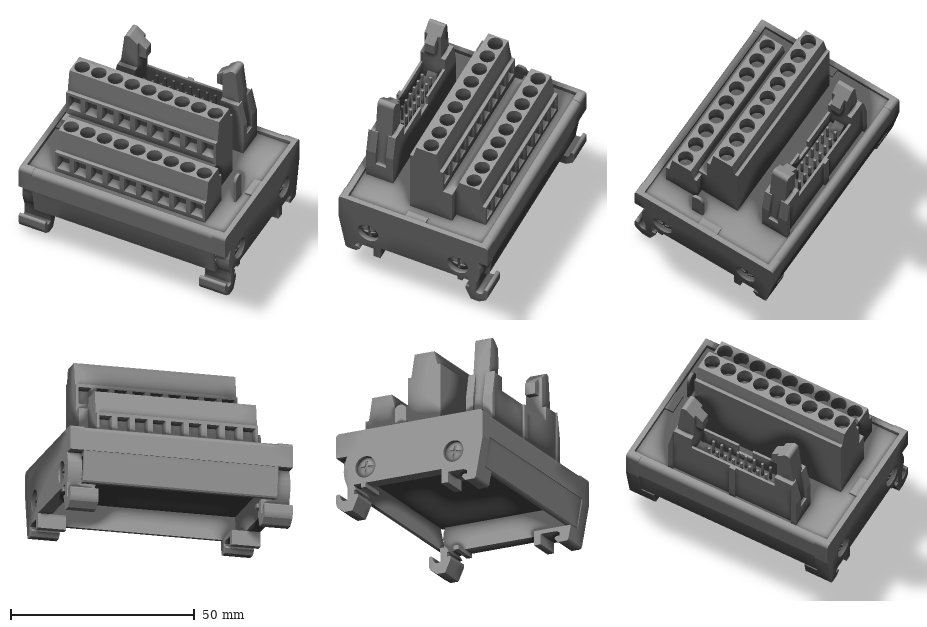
import cadquery as cq

LENGTH = 63.0
DEPTH = 45.0
HALF_LENGTH = LENGTH / 2
HALF_DEPTH = DEPTH / 2
TOP_Z = 22.85
UNDERSIDE_Z = 7.4
STEP_Z = 15.95
CAP_WIDTH = 4.0
CAP_EDGE_RADIUS = 1.0
FOOT_WIDTH = 8.0
CHANNEL_HALF_LENGTH = HALF_LENGTH - CAP_WIDTH
CHANNEL_EDGE_RADIUS = 1.4
CHANNEL_TOP_Z = TOP_Z - 0.15
CHANNEL_STEP = 0.25
CHANNEL_CEILING_Z = 14.7
CHANNEL_CEILING_HALF_DEPTH = 20.9
CHANNEL_FOOT_HALF_DEPTH = 21.0
CHANNEL_FOOT_INNER = 19.5
CHANNEL_FOOT_CHAMFER = 0.4

BACK_TAPER_Z = 15.1
FOOT_HEEL_Y = 20.4
FOOT_HEEL_Z = 3.8
FOOT_BOTTOM_Z = 3.0
HEEL_RADIUS = 0.9
FOOT_TOE_RAMP = 0.5
FOOT_THROAT_RAMP = 1.05
FOOT_TOE_Y = 16.0
FOOT_TOE_Z = 4.15
FOOT_THROAT_Y = 17.6
FOOT_THROAT_BOTTOM_Z = 4.85
FOOT_THROAT_TOP_Z = 5.8
RAIL_SEAT_Z = 6.25
STOP_BACK_Y = 11.85
STOP_FRONT_Y = 9.8
STOP_BOTTOM_Z = 3.25
RIB_BACK_Y = -13.4
RIB_FRONT_Y = -14.9
RIB_BOTTOM_Z = 6.2

BARB_ROOT_Y = -17.2
BARB_TIP_Y = -16.3
BARB_TIP_Z = 5.95
BARB_BOTTOM_Z = 5.8
HOOK_NECK_Y = -16.95
HOOK_JAW_Y = -15.8
HOOK_JAW_TOP_Z = 4.6
HOOK_JAW_BOTTOM_Z = 3.75
HOOK_BOTTOM_BACK_Y = -17.5
HOOK_BOTTOM_FRONT_Y = -19.95
HOOK_CORNER = (-22.0, 1.45)
HOOK_CORNER_MIDDLE = (-22.36, 2.21)
HOOK_FRONT_Z = 3.05
LIP_TOP_Z = 5.4
LIP_SIDE_Z = 4.95
LIP_MIDDLE_Y = -21.9
LIP_INNER_Y = -21.3
THROAT_MIDDLE = (-21.0, 3.8)
THROAT_FRONT_Y = -20.2
THROAT_BOTTOM_Z = 3.2
THROAT_RADIUS = 0.5
ARM_FOOT_Y = -18.95
ARM_FOOT_Z = 5.6
ARM_ROOT_Y = -19.15
ARM_FOOT_MIDDLE = (-19.0, 6.4)
ARM_MIDDLE = (-19.85, 9.3)
ARM_BEND = (-20.15, 11.6)
ARM_KNEE = (-20.05, 13.1)

RIM_WIDTH = 1.4
RIM_DEPTH = 2.3
RECESS_DEPTH = 1.3
BOARD_Z = TOP_Z - RECESS_DEPTH
TAB_LENGTH = 2.5
TAB_WIDTH = 6.0
TAB_Y = 0.2
TAB_DROP = 0.7

SCREW_Y = 13.5
SCREW_Z = 12.0
SCREW_BORE_DIAMETER = 6.15
SCREW_BORE_DEPTH = 1.5
SCREW_HEAD_DIAMETER = 5.8
SCREW_HEAD_HEIGHT = 1.0
SCREW_CROSS_LENGTH = 3.9
SCREW_CROSS_WIDTH = 0.8
SCREW_CROSS_DEPTH = 0.7
REAR_SCREW_TURN = -8.0

POLES = 9
POLE_PITCH = 5.08
BLOCK_LENGTH = POLES * POLE_PITCH
UPPER_BLOCK_X = -2.4
LOWER_BLOCK_X = UPPER_BLOCK_X + POLE_PITCH / 2
UPPER_BLOCK_TOP_Z = 46.6
LOWER_BLOCK_TOP_Z = 35.15
UPPER_SCREW_Y = -1.4
LOWER_SCREW_Y = -13.1
BLOCK_TOP_BACK = 3.3
BLOCK_TOP_FRONT = 2.7
BLOCK_BACK = 5.25
BLOCK_FRONT = 4.75
BACK_LEDGE_DROP = 3.9
BACK_LEDGE_WIDTH = 0.95
FRONT_LEDGE_DROP = 6.5
FRONT_LEDGE_WIDTH = 1.05
UPPER_BASE_Z = 32.3
UPPER_BASE_FRONT_Y = -8.9
SCREW_ACCESS_DIAMETER = 4.3
SCREW_ACCESS_DEPTH = 5.0
WINDOW_WIDTH = 3.6
WINDOW_HEIGHT = 4.8
WINDOW_DROP = 9.8
WINDOW_DEPTH = 2.7
WINDOW_TAPER = 6.0

CONNECTOR_HALF_LENGTH = 20.0
CONNECTOR_FRONT_Y = 11.4
CONNECTOR_BACK_Y = 18.9
CONNECTOR_MID_Y = (CONNECTOR_FRONT_Y + CONNECTOR_BACK_Y) / 2
CONNECTOR_RIB = 0.65
POST_TOP_Z = 38.6
POST_TAPER_Z = 31.4
POST_TAPER = 1.5
WALL_TOP_Z = 34.6
WALL_THICKNESS = 0.7
CAVITY_HALF_LENGTH = 13.0
CAVITY_FLOOR_Z = 29.0
KEY_WIDTH = 1.8
NOTCH_WIDTH = 4.4
NOTCH_BOTTOM_Z = 31.4
SLOT_BOTTOM_Z = 27.0
LATCH_FOOT_Z = 27.7
SLOT_WIDTH = 3.1
CHAMBER_WIDTH = 4.9
CHAMBER_OUTER_X = 18.2
PIN_COLUMNS = 8
PIN_ROWS = 2
PIN_PITCH = 2.54
PIN_WIDTH = 0.64
PIN_TOP_Z = 34.3

LATCH_TOP_Z = 49.2
LATCH_TOP_OUTER_X = 16.9
LATCH_TOP_INNER_X = 15.5
LATCH_BASE_X = 19.3
LATCH_INNER_X = 13.0
LATCH_TOP_OUTER_RADIUS = 1.0
LATCH_TOP_INNER_RADIUS = 0.6
NOSE_TIP_X = 10.8
NOSE_TIP_Z = 45.4
NOSE_BOTTOM_Z = 42.1
NOSE_WIDTH = 3.0
LATCH_TOE_X = 10.2

BLADE_X = 26.5
BLADE_Y = -5.1
BLADE_THICKNESS = 0.8
BLADE_WIDTH = 3.5
BLADE_TOP_Z = 30.15
BLADE_CORNER_RADIUS = 1.7


def box(x0, x1, y0, y1, z0, z1):
    """Block between two opposite corners."""
    return cq.Workplane("XY").box(x1 - x0, y1 - y0, z1 - z0, centered=False).translate((x0, y0, z0))


def extrude_along_x(profile, x0, x1):
    """Closed (y, z) polygon extruded from x0 to x1."""
    return cq.Workplane("YZ").workplane(offset=x0).polyline(profile).close().extrude(x1 - x0)


def extrude_along_y(profile, y_middle, width):
    """Closed (x, z) polygon extruded along Y, centred on y_middle."""
    sketch = cq.Workplane("XZ").polyline(profile).close().extrude(width / 2, both=True)
    return sketch.translate((0, y_middle, 0))


def mirrored_pair(left):
    """The left-hand part together with its mirror image across X = 0."""
    return left.union(left.mirror("YZ"))


def cap_profile(x0, width):
    """End cap outline with the fixed rail foot behind and the sprung hook in front."""
    return (
        cq.Workplane("YZ").workplane(offset=x0)
        .moveTo(-HALF_DEPTH, TOP_Z - CAP_EDGE_RADIUS)
        .radiusArc((-HALF_DEPTH + CAP_EDGE_RADIUS, TOP_Z), CAP_EDGE_RADIUS)
        .lineTo(HALF_DEPTH - CAP_EDGE_RADIUS, TOP_Z)
        .radiusArc((HALF_DEPTH, TOP_Z - CAP_EDGE_RADIUS), CAP_EDGE_RADIUS)
        .lineTo(HALF_DEPTH, BACK_TAPER_Z)
        .lineTo(FOOT_HEEL_Y, FOOT_HEEL_Z)
        .radiusArc((FOOT_HEEL_Y - HEEL_RADIUS, FOOT_BOTTOM_Z), HEEL_RADIUS)
        .lineTo(FOOT_TOE_Y + FOOT_TOE_Z - FOOT_BOTTOM_Z, FOOT_BOTTOM_Z)
        .lineTo(FOOT_TOE_Y, FOOT_TOE_Z)
        .lineTo(FOOT_TOE_Y + FOOT_TOE_RAMP, FOOT_THROAT_BOTTOM_Z)
        .lineTo(FOOT_THROAT_Y, FOOT_THROAT_BOTTOM_Z)
        .lineTo(FOOT_THROAT_Y, FOOT_THROAT_TOP_Z)
        .lineTo(FOOT_THROAT_Y - FOOT_THROAT_RAMP, RAIL_SEAT_Z)
        .lineTo(STOP_BACK_Y, RAIL_SEAT_Z)
        .lineTo(STOP_BACK_Y, STOP_BOTTOM_Z)
        .lineTo(STOP_FRONT_Y, STOP_BOTTOM_Z)
        .lineTo(STOP_FRONT_Y, UNDERSIDE_Z)
        .lineTo(RIB_BACK_Y, UNDERSIDE_Z)
        .lineTo(RIB_BACK_Y, RIB_BOTTOM_Z)
        .lineTo(RIB_FRONT_Y, RIB_BOTTOM_Z)
        .lineTo(RIB_FRONT_Y, UNDERSIDE_Z)
        .lineTo(BARB_ROOT_Y, UNDERSIDE_Z)
        .lineTo(BARB_TIP_Y, BARB_TIP_Z)
        .lineTo(HOOK_NECK_Y, BARB_BOTTOM_Z)
        .lineTo(HOOK_NECK_Y, HOOK_JAW_TOP_Z)
        .lineTo(HOOK_JAW_Y, HOOK_JAW_TOP_Z)
        .lineTo(HOOK_JAW_Y, HOOK_JAW_BOTTOM_Z)
        .lineTo(HOOK_BOTTOM_BACK_Y, 0)
        .lineTo(HOOK_BOTTOM_FRONT_Y, 0)
        .lineTo(*HOOK_CORNER)
        .threePointArc(HOOK_CORNER_MIDDLE, (-HALF_DEPTH, HOOK_FRONT_Z))
        .lineTo(-HALF_DEPTH, LIP_SIDE_Z)
        .threePointArc((LIP_MIDDLE_Y, LIP_TOP_Z), (LIP_INNER_Y, LIP_SIDE_Z))
        .threePointArc(THROAT_MIDDLE, (THROAT_FRONT_Y, THROAT_BOTTOM_Z))
        .lineTo(ARM_FOOT_Y - THROAT_RADIUS, THROAT_BOTTOM_Z)
        .radiusArc((ARM_FOOT_Y, THROAT_BOTTOM_Z + THROAT_RADIUS), -THROAT_RADIUS)
        .lineTo(ARM_FOOT_Y, ARM_FOOT_Z)
        .threePointArc(ARM_FOOT_MIDDLE, (ARM_ROOT_Y, UNDERSIDE_Z))
        .threePointArc(ARM_MIDDLE, ARM_BEND)
        .lineTo(*ARM_KNEE)
        .lineTo(ARM_ROOT_Y, STEP_Z)
        .lineTo(-HALF_DEPTH, STEP_Z)
        .close()
        .extrude(width)
    )


def make_left_cap():
    cap = cap_profile(-HALF_LENGTH, CAP_WIDTH)
    feet = cap_profile(-HALF_LENGTH, FOOT_WIDTH).intersect(
        box(-HALF_LENGTH, HALF_LENGTH, -HALF_DEPTH, HALF_DEPTH, 0, UNDERSIDE_Z)
    )
    return cap.union(feet)


def make_channel():
    """Middle channel: a thick deck carried by two sloping side walls."""
    wall_top = HALF_DEPTH - CHANNEL_STEP
    foot_z = UNDERSIDE_Z + CHANNEL_FOOT_CHAMFER
    right_half = [
        (HALF_DEPTH, CHANNEL_TOP_Z),
        (HALF_DEPTH, STEP_Z),
        (wall_top, STEP_Z),
        (CHANNEL_FOOT_HALF_DEPTH, foot_z),
        (CHANNEL_FOOT_HALF_DEPTH - CHANNEL_FOOT_CHAMFER, UNDERSIDE_Z),
        (CHANNEL_FOOT_INNER, UNDERSIDE_Z),
        (CHANNEL_CEILING_HALF_DEPTH, CHANNEL_CEILING_Z),
    ]
    left_half = [(-y, z) for y, z in reversed(right_half)]
    channel = extrude_along_x(right_half + left_half, -CHANNEL_HALF_LENGTH, CHANNEL_HALF_LENGTH)
    return channel.faces(">Z").edges("|X").fillet(CHANNEL_EDGE_RADIUS)


def make_housing():
    housing = make_channel().union(mirrored_pair(make_left_cap()))
    recess_x = HALF_LENGTH - RIM_WIDTH
    recess_y = HALF_DEPTH - RIM_DEPTH
    housing = housing.cut(box(-recess_x, recess_x, -recess_y, recess_y, BOARD_Z, TOP_Z))
    tab = box(
        -recess_x, TAB_LENGTH - recess_x,
        TAB_Y - TAB_WIDTH / 2, TAB_Y + TAB_WIDTH / 2,
        BOARD_Z, TOP_Z - TAB_DROP,
    )
    return housing.union(mirrored_pair(tab))


def make_screw_bore(y):
    bore = cq.Workplane("YZ").circle(SCREW_BORE_DIAMETER / 2).extrude(SCREW_BORE_DEPTH)
    return bore.translate((-HALF_LENGTH, y, SCREW_Z))


def make_screw_head(y, turn):
    """Domed cross-slotted head standing on the floor of its bore."""
    radius = SCREW_HEAD_DIAMETER / 2
    sphere_radius = (radius**2 + SCREW_HEAD_HEIGHT**2) / (2 * SCREW_HEAD_HEIGHT)
    ball = cq.Workplane("XY").sphere(sphere_radius).translate((sphere_radius - SCREW_HEAD_HEIGHT, 0, 0))
    head = cq.Workplane("YZ").circle(radius).extrude(-SCREW_HEAD_HEIGHT).intersect(ball)
    slot = cq.Workplane("YZ").workplane(offset=SCREW_CROSS_DEPTH - SCREW_HEAD_HEIGHT)
    for width, height in (
        (SCREW_CROSS_LENGTH, SCREW_CROSS_WIDTH),
        (SCREW_CROSS_WIDTH, SCREW_CROSS_LENGTH),
    ):
        head = head.cut(slot.rect(width, height).extrude(-SCREW_CROSS_DEPTH))
    head = head.rotate((0, 0, 0), (1, 0, 0), turn)
    return head.translate((SCREW_BORE_DEPTH - HALF_LENGTH, y, SCREW_Z))


def add_screws(housing):
    for y, turn in ((SCREW_Y, REAR_SCREW_TURN), (-SCREW_Y, 0)):
        housing = housing.cut(mirrored_pair(make_screw_bore(y)))
        housing = housing.union(mirrored_pair(make_screw_head(y, turn)))
    return housing


def make_terminal_block(x_middle, screw_y, top_z):
    """Row of screw terminals: wire windows in front, screwdriver holes on top."""
    back_y = screw_y + BLOCK_BACK
    front_y = screw_y - BLOCK_FRONT
    back_ledge_z = top_z - BACK_LEDGE_DROP
    front_ledge_z = top_z - FRONT_LEDGE_DROP
    profile = [
        (back_y, BOARD_Z),
        (back_y, back_ledge_z),
        (back_y - BACK_LEDGE_WIDTH, back_ledge_z),
        (screw_y + BLOCK_TOP_BACK, top_z),
        (screw_y - BLOCK_TOP_FRONT, top_z),
        (front_y + FRONT_LEDGE_WIDTH, front_ledge_z),
        (front_y, front_ledge_z),
        (front_y, BOARD_Z),
    ]
    block = extrude_along_x(profile, x_middle - BLOCK_LENGTH / 2, x_middle + BLOCK_LENGTH / 2)
    window_z = top_z - WINDOW_DROP
    for pole in range(POLES):
        x = x_middle + (pole - (POLES - 1) / 2) * POLE_PITCH
        access = cq.Workplane("XY").circle(SCREW_ACCESS_DIAMETER / 2).extrude(-SCREW_ACCESS_DEPTH)
        block = block.cut(access.translate((x, screw_y, top_z)))
        window = (
            cq.Workplane("XZ").rect(WINDOW_WIDTH, WINDOW_HEIGHT)
            .extrude(-WINDOW_DEPTH, taper=WINDOW_TAPER)
        )
        block = block.cut(window.translate((x, front_y, window_z)))
    return block


def make_upper_base():
    """Solid step that joins the upper terminal block to the lower one."""
    return box(
        UPPER_BLOCK_X - BLOCK_LENGTH / 2, UPPER_BLOCK_X + BLOCK_LENGTH / 2,
        UPPER_BASE_FRONT_Y, UPPER_SCREW_Y - BLOCK_FRONT,
        BOARD_Z, UPPER_BASE_Z,
    )


def make_connector():
    """Box header with a pin cavity between two tall latch posts."""
    shoulder_x = CONNECTOR_HALF_LENGTH - POST_TAPER
    outline = [
        (-CONNECTOR_HALF_LENGTH, BOARD_Z),
        (-CONNECTOR_HALF_LENGTH, POST_TAPER_Z),
        (-shoulder_x, POST_TOP_Z),
        (-CAVITY_HALF_LENGTH, POST_TOP_Z),
        (-CAVITY_HALF_LENGTH, WALL_TOP_Z),
        (CAVITY_HALF_LENGTH, WALL_TOP_Z),
        (CAVITY_HALF_LENGTH, POST_TOP_Z),
        (shoulder_x, POST_TOP_Z),
        (CONNECTOR_HALF_LENGTH, POST_TAPER_Z),
        (CONNECTOR_HALF_LENGTH, BOARD_Z),
    ]
    width = CONNECTOR_BACK_Y - CONNECTOR_FRONT_Y
    body = extrude_along_y(outline, CONNECTOR_MID_Y, width)
    end_rib = extrude_along_y(
        outline[:3] + [(-shoulder_x, BOARD_Z)], CONNECTOR_BACK_Y, 2 * CONNECTOR_RIB
    )
    body = body.union(mirrored_pair(end_rib))
    key = box(
        -KEY_WIDTH / 2, KEY_WIDTH / 2,
        CONNECTOR_BACK_Y, CONNECTOR_BACK_Y + CONNECTOR_RIB, BOARD_Z, WALL_TOP_Z,
    )
    body = body.union(key)

    cavity_front_y = CONNECTOR_FRONT_Y + WALL_THICKNESS
    body = body.cut(box(
        -CAVITY_HALF_LENGTH, CAVITY_HALF_LENGTH,
        cavity_front_y, CONNECTOR_BACK_Y - WALL_THICKNESS, CAVITY_FLOOR_Z, POST_TOP_Z,
    ))
    body = body.cut(box(
        -NOTCH_WIDTH / 2, NOTCH_WIDTH / 2,
        CONNECTOR_FRONT_Y, cavity_front_y, NOTCH_BOTTOM_Z, POST_TOP_Z,
    ))
    for outer_x, slot_width in (
        (CONNECTOR_HALF_LENGTH, SLOT_WIDTH),
        (CHAMBER_OUTER_X, CHAMBER_WIDTH),
    ):
        slot = box(
            -outer_x, -CAVITY_HALF_LENGTH,
            CONNECTOR_MID_Y - slot_width / 2, CONNECTOR_MID_Y + slot_width / 2,
            SLOT_BOTTOM_Z, POST_TOP_Z,
        )
        body = body.cut(mirrored_pair(slot))
    return body.union(make_pins())


def make_pins():
    return (
        cq.Workplane("XY").workplane(offset=BOARD_Z)
        .center(0, CONNECTOR_MID_Y)
        .rarray(PIN_PITCH, PIN_PITCH, PIN_COLUMNS, PIN_ROWS)
        .rect(PIN_WIDTH, PIN_WIDTH)
        .extrude(PIN_TOP_Z - BOARD_Z)
    )


def make_left_latch():
    """Locking lever: wide arm, narrow hook nose, and narrow foot in the end slot."""
    outer_slope = (LATCH_BASE_X - LATCH_TOP_OUTER_X) / (LATCH_TOP_Z - LATCH_FOOT_Z)
    outer_x = LATCH_TOP_OUTER_X + outer_slope * (LATCH_TOP_Z - POST_TOP_Z)
    hook_slope = (LATCH_TOP_Z - NOSE_TIP_Z) / (LATCH_TOP_INNER_X - NOSE_TIP_X)
    shoulder_z = LATCH_TOP_Z - hook_slope * (LATCH_TOP_INNER_X - LATCH_INNER_X)
    arm = extrude_along_y(
        [
            (-outer_x, SLOT_BOTTOM_Z),
            (-outer_x, POST_TOP_Z),
            (-LATCH_TOP_OUTER_X, LATCH_TOP_Z),
            (-LATCH_TOP_INNER_X, LATCH_TOP_Z),
            (-LATCH_INNER_X, shoulder_z),
            (-LATCH_INNER_X, SLOT_BOTTOM_Z),
        ],
        CONNECTOR_MID_Y, CHAMBER_WIDTH,
    )
    arm = arm.faces(">Z").edges("<X").fillet(LATCH_TOP_OUTER_RADIUS)
    arm = arm.faces(">Z").edges(">X").fillet(LATCH_TOP_INNER_RADIUS)
    nose = extrude_along_y(
        [
            (-LATCH_INNER_X, shoulder_z),
            (-NOSE_TIP_X, NOSE_TIP_Z),
            (-NOSE_TIP_X, NOSE_BOTTOM_Z),
            (-LATCH_INNER_X, NOSE_BOTTOM_Z),
        ],
        CONNECTOR_MID_Y, NOSE_WIDTH,
    )
    foot = extrude_along_y(
        [
            (-LATCH_BASE_X, LATCH_FOOT_Z),
            (-outer_x, POST_TOP_Z),
            (-outer_x, LATCH_FOOT_Z),
        ],
        CONNECTOR_MID_Y, SLOT_WIDTH,
    )
    toe = extrude_along_y(
        [
            (-LATCH_INNER_X, CAVITY_FLOOR_Z),
            (-LATCH_INNER_X, CAVITY_FLOOR_Z + LATCH_INNER_X - LATCH_TOE_X),
            (-LATCH_TOE_X, CAVITY_FLOOR_Z),
        ],
        CONNECTOR_MID_Y, NOSE_WIDTH,
    )
    return arm.union(nose).union(foot).union(toe)


def make_blade():
    blade = box(
        BLADE_X - BLADE_THICKNESS / 2, BLADE_X + BLADE_THICKNESS / 2,
        BLADE_Y - BLADE_WIDTH / 2, BLADE_Y + BLADE_WIDTH / 2,
        BOARD_Z, BLADE_TOP_Z,
    )
    return blade.faces(">Z").edges("|X").fillet(BLADE_CORNER_RADIUS)


result = (
    add_screws(make_housing())
    .union(make_upper_base())
    .union(make_terminal_block(UPPER_BLOCK_X, UPPER_SCREW_Y, UPPER_BLOCK_TOP_Z))
    .union(make_terminal_block(LOWER_BLOCK_X, LOWER_SCREW_Y, LOWER_BLOCK_TOP_Z))
    .union(make_connector())
    .union(mirrored_pair(make_left_latch()))
    .union(make_blade())
)